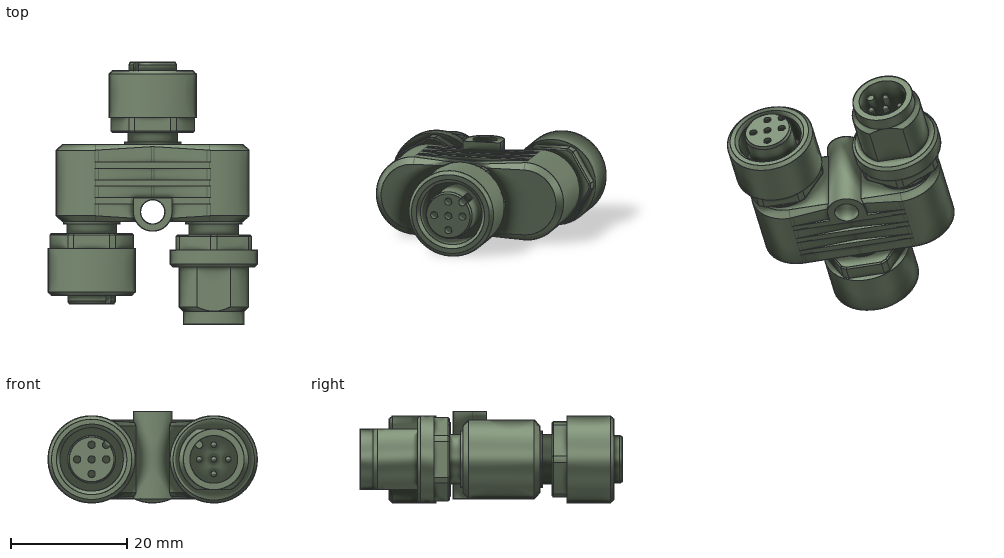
import cadquery as cq
import math


BODY_WIDTH = 33.2
BODY_DEPTH = 13.25
BODY_HEIGHT = 13.6
BODY_END = BODY_DEPTH / 2
BODY_CHAMFER_ALONG = 1.0
BODY_CHAMFER_IN = 1.1

PANEL_HALF_WIDTH = 9.9
PANEL_RAMP_WIDTH = 0.55
PANEL_EDGE_DROP = 0.05
PANEL_CENTRE_DROP = 0.68
PANEL_CREASE_HALF_WIDTH = 0.2
RIB_WIDTH = 1.05
RIB_PITCH = 3.05
REAR_RIB_Y = 3.05
RIB_COUNT = 3

BOSS_Y = -4.97
BOSS_RADIUS = 3.32
BOSS_TOP = 8.25
BOSS_BACK = -2.55
BOSS_HOLE_DIAMETER = 4.15

CONNECTOR_X = 10.5
COLLAR_RADIUS = 4.88
COLLAR_END = 7.05
NECK_RADIUS = 4.28
NUT_RADIUS = 7.5
HEX_ACROSS_FLATS = 13.0
HEX_CORNER_RADIUS = 7.2
HEX_CHAMFER = 0.25
HEX_HALF_ANGLE = 30
CONTACT_SPACING = 2.5
INSERT_RADIUS = 4.1
KEY_RADIUS = 0.62
KEY_ANGLE = 45
KEY_DISTANCE = CONTACT_SPACING * math.sqrt(2)

SOCKET_HEX_START = 8.72
SOCKET_NUT_START = 11.25
SOCKET_NUT_END = 19.32
SOCKET_NUT_CHAMFER = 0.6
SOCKET_BORE_RADIUS = 5.46
SOCKET_BORE_DEPTH = 6.0
SOCKET_BORE_CHAMFER = 0.6
SOCKET_END = 20.8
INSERT_CHAMFER_ALONG = 0.5
INSERT_CHAMFER_IN = 0.25
CONTACT_HOLE_DIAMETER = 1.24
CONTACT_HOLE_DEPTH = 4.0
KEY_SLOT_DEPTH = 4.0

PLUG_HEX_START = 8.97
PLUG_FLANGE_START = 11.55
PLUG_FLANGE_END = 14.45
PLUG_FLANGE_CHAMFER = 0.5
PLUG_BARREL_RADIUS = 5.97
PLUG_BARREL_END = 22.05
PLUG_FLAT_HEIGHT = 5.22
PLUG_TIP_RADIUS = 5.22
PLUG_END = 24.3
PLUG_CAVITY_DEPTH = 8.5
PIN_RADIUS = 0.5
PIN_LENGTH = 6.5
PIN_ROOT = 0.5


def cylinder(radius, start, end):
    """Round bar along -Y between two stations."""
    return cq.Workplane("XZ", origin=(0, -start, 0)).circle(radius).extrude(end - start)


def hex_grip(start, end, angle):
    """Hexagon with its corners turned off and its inner end chamfered."""
    across_corners = HEX_ACROSS_FLATS / math.cos(math.radians(HEX_HALF_ANGLE))
    hexagon = cq.Workplane("XZ", origin=(0, -start, 0)).polygon(6, across_corners).extrude(end - start)
    hexagon = hexagon.rotate((0, 0, 0), (0, 1, 0), angle)
    hexagon = hexagon.intersect(cylinder(HEX_CORNER_RADIUS, start, end))
    return hexagon.faces(">Y").edges().chamfer(HEX_CHAMFER)


def stem(end):
    """Collar on the body and the neck that carries the connector."""
    collar = cylinder(COLLAR_RADIUS, 0, COLLAR_END)
    return collar.union(cylinder(NECK_RADIUS, 0, end))


def contact_points():
    """Centre contact and four around it."""
    pitch = CONTACT_SPACING
    return [(0, 0), (pitch, 0), (-pitch, 0), (0, pitch), (0, -pitch)]


def key_bar(angle, start, end):
    """Round-nosed bar for the coding key, running outwards; the angle turns it about Y from +X."""
    key_reach = INSERT_RADIUS + KEY_RADIUS - KEY_DISTANCE
    length = end - start
    plane = cq.Workplane("XZ", origin=(0, -start, 0))
    nose = plane.center(KEY_DISTANCE, 0).circle(KEY_RADIUS).extrude(length)
    tail = plane.center(KEY_DISTANCE + key_reach / 2, 0).rect(key_reach, 2 * KEY_RADIUS).extrude(length)
    return nose.union(tail).rotate((0, 0, 0), (0, 1, 0), angle)


def make_socket():
    """Coupling nut around a round contact insert, pointing along -Y."""
    floor = SOCKET_NUT_END - SOCKET_BORE_DEPTH
    nut = cylinder(NUT_RADIUS, SOCKET_NUT_START, SOCKET_NUT_END).faces("<Y").chamfer(SOCKET_NUT_CHAMFER)
    bore = cylinder(SOCKET_BORE_RADIUS, floor, SOCKET_NUT_END)
    nut = nut.cut(bore)
    nut = nut.faces("<Y").edges(cq.selectors.RadiusNthSelector(0)).chamfer(SOCKET_BORE_CHAMFER)

    insert = cylinder(INSERT_RADIUS, SOCKET_NUT_START, SOCKET_END)
    insert = insert.faces("<Y").edges().chamfer(INSERT_CHAMFER_ALONG, INSERT_CHAMFER_IN)
    holes = (
        cq.Workplane("XZ", origin=(0, -SOCKET_END, 0))
        .pushPoints(contact_points())
        .circle(CONTACT_HOLE_DIAMETER / 2)
        .extrude(-CONTACT_HOLE_DEPTH)
    )
    insert = insert.cut(holes).cut(key_bar(-KEY_ANGLE, SOCKET_END - KEY_SLOT_DEPTH, SOCKET_END))

    grip = hex_grip(SOCKET_HEX_START, SOCKET_NUT_START, 0)
    return stem(SOCKET_NUT_START).union(grip).union(nut).union(insert)


def make_plug():
    """Hollow barrel with contact pins, pointing along -Y."""
    flange = cylinder(NUT_RADIUS, PLUG_FLANGE_START, PLUG_FLANGE_END).faces("<Y").chamfer(PLUG_FLANGE_CHAMFER)
    barrel = cylinder(PLUG_BARREL_RADIUS, PLUG_FLANGE_START, PLUG_BARREL_END)
    barrel = barrel.faces("<Y").chamfer(PLUG_BARREL_RADIUS - PLUG_TIP_RADIUS)
    flats = cq.Workplane("XY").box(2 * NUT_RADIUS, 2 * PLUG_END, 2 * PLUG_FLAT_HEIGHT)
    barrel = barrel.intersect(flats)
    tip = cylinder(PLUG_TIP_RADIUS, PLUG_FLANGE_START, PLUG_END)
    grip = hex_grip(PLUG_HEX_START, PLUG_FLANGE_START, HEX_HALF_ANGLE)
    shell = stem(PLUG_FLANGE_START).union(grip).union(flange).union(barrel).union(tip)

    floor = PLUG_END - PLUG_CAVITY_DEPTH
    cavity = cylinder(INSERT_RADIUS, floor, PLUG_END)
    key = key_bar(KEY_ANGLE - 180, floor, floor + PIN_LENGTH)
    pin = cylinder(PIN_RADIUS, floor - PIN_ROOT, floor + PIN_LENGTH - PIN_RADIUS)
    pin_tip = cq.Workplane("XY", origin=(0, PIN_RADIUS - floor - PIN_LENGTH, 0)).sphere(PIN_RADIUS)
    pin = pin.union(pin_tip)
    plug = shell.cut(cavity.cut(key))
    for x, z in contact_points():
        plug = plug.union(pin.translate((x, 0, z)))
    return plug


def panel_cutter(y_start, y_end):
    """Removes the V-shaped panel from the upper face between two Y positions."""
    top = BODY_HEIGHT / 2
    half = [
        (PANEL_HALF_WIDTH, top),
        (PANEL_HALF_WIDTH - PANEL_RAMP_WIDTH, top - PANEL_EDGE_DROP),
        (PANEL_CREASE_HALF_WIDTH, top - PANEL_CENTRE_DROP),
    ]
    mirrored = [(-x, z) for x, z in reversed(half)]
    return cq.Workplane("XZ", origin=(0, y_end, 0)).polyline(half + mirrored).close().extrude(y_end - y_start)


def make_body():
    """Flat round-sided body, ribbed on its upper and lower faces."""
    body = (
        cq.Workplane("XZ", origin=(0, BODY_END, 0))
        .slot2D(BODY_WIDTH, BODY_HEIGHT)
        .extrude(BODY_DEPTH)
        .faces("|Y")
        .edges()
        .chamfer(BODY_CHAMFER_ALONG, BODY_CHAMFER_IN)
    )
    panel_back = BODY_END
    rib_centres = [REAR_RIB_Y - i * RIB_PITCH for i in range(RIB_COUNT)]
    panel_fronts = [y + RIB_WIDTH / 2 for y in rib_centres] + [-BODY_END]
    for panel_front in panel_fronts:
        cutter = panel_cutter(panel_front, panel_back)
        body = body.cut(cutter).cut(cutter.mirror("XY"))
        panel_back = panel_front - RIB_WIDTH
    return body


def add_boss(body):
    """Adds the drilled mounting boss at the front, square at its back."""
    bottom = -BODY_HEIGHT / 2
    height = BOSS_TOP - bottom
    base = cq.Workplane("XY", origin=(0, BOSS_Y, bottom))
    back_depth = BOSS_BACK - BOSS_Y
    back = base.center(0, back_depth / 2).rect(2 * BOSS_RADIUS, back_depth).extrude(height)
    front = base.center(0, -BOSS_RADIUS / 2).rect(2 * BOSS_RADIUS, BOSS_RADIUS).extrude(height)
    front = front.intersect(base.circle(BOSS_RADIUS).extrude(height))
    hole = base.circle(BOSS_HOLE_DIAMETER / 2).extrude(height)
    return body.union(back).union(front).cut(hole)


socket = make_socket()
rear_socket = socket.rotate((0, 0, 0), (0, 0, 1), 180)
front_socket = socket.translate((-CONNECTOR_X, 0, 0))
plug = make_plug().translate((CONNECTOR_X, 0, 0))

result = add_boss(make_body().union(rear_socket).union(front_socket).union(plug))